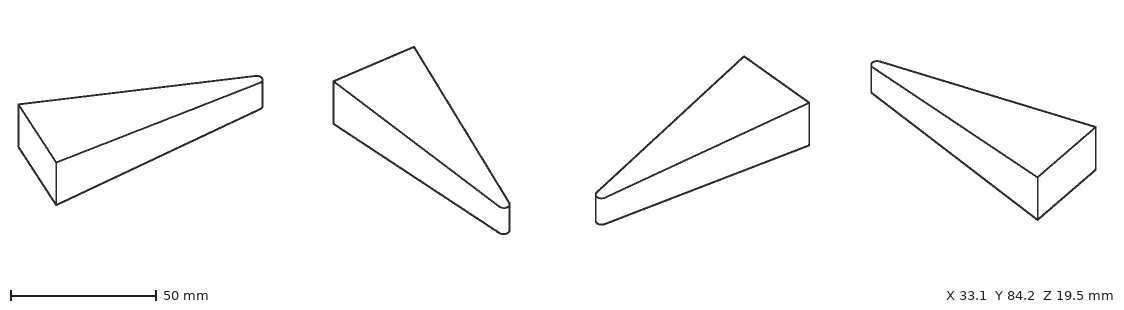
import cadquery as cq
import math

length = 84.2
base_width = 33.1
base_height = 19.5
tip_height = 11.95
tip_radius = 2.0

half_base = base_width / 2
tip_center_y = length - tip_radius
corner_distance = math.hypot(half_base, tip_center_y)
flank_angle = math.atan2(half_base, tip_center_y) - math.asin(tip_radius / corner_distance)
tangent_x = tip_radius * math.cos(flank_angle)
tangent_y = tip_center_y + tip_radius * math.sin(flank_angle)


def plan_prism():
    """Triangular plan with a round tip, extruded to the full base height."""
    return (
        cq.Workplane("XY")
        .moveTo(-half_base, 0)
        .lineTo(half_base, 0)
        .lineTo(tangent_x, tangent_y)
        .threePointArc((0, length), (-tangent_x, tangent_y))
        .close()
        .extrude(base_height / 2, both=True)
    )


def side_taper():
    """Symmetric side profile, thinning from the base to the tip."""
    return (
        cq.Workplane("YZ")
        .moveTo(0, -base_height / 2)
        .lineTo(length, -tip_height / 2)
        .lineTo(length, tip_height / 2)
        .lineTo(0, base_height / 2)
        .close()
        .extrude(half_base, both=True)
    )


result = plan_prism().intersect(side_taper())